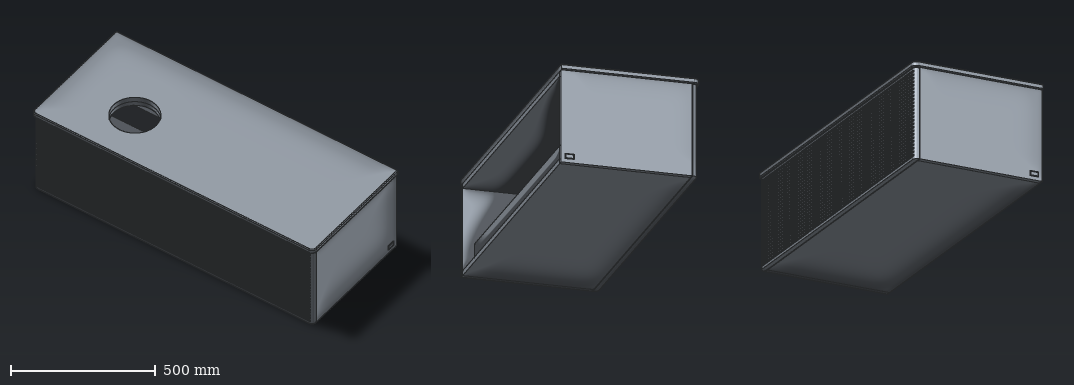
import cadquery as cq
LENGTH = 1200.0
DEPTH = 500.0
HEIGHT = 360.0

TOP_THICKNESS = 20.0
TOP_CORNER_RADIUS = 20.0
TOP_CHAMFER = 4.0
BASIN_HOLE_DIAMETER = 180.0
BASIN_HOLE_X = -LENGTH / 4
BASIN_HOLE_Y = -305.0

SIDE_INSET = 6.0
BOARD = 18.0
CARCASS_DEPTH = 473.0
PANEL_BACK_Y = -42.0
PANEL_TOP = 120.0

FRONT_BACK_Y = -475.0
FRONT_FACE_Y = -493.0
FRONT_CORNER_DIAMETER = 35.0
FRONT_TOP_GAP = 1.0
FLUTE_COUNT = 25
FLUTE_SPAN = 312.0
FIRST_FLUTE_Z = 15.0
FLUTE_WIDTH = 7.8
FLUTE_FLOOR = 4.0
FLUTE_DEPTH = 1.0

CAP_WIDTH = 32.0
CAP_HEIGHT = 18.0
CAP_THICKNESS = 6.0
CAP_CHAMFER = 2.0
CAP_CENTER_Y = -31.0
CAP_CENTER_Z = 24.0

CARCASS_LENGTH = LENGTH - 2 * SIDE_INSET
CARCASS_HEIGHT = HEIGHT - TOP_THICKNESS
INNER_LENGTH = CARCASS_LENGTH - 2 * BOARD
FLUTE_PITCH = FLUTE_SPAN / (FLUTE_COUNT - 1)
CAP_CENTER_X = (CARCASS_LENGTH - CAP_THICKNESS) / 2

LEFT, RIGHT = -1, 1


def board(length, depth, height, back_y=0.0, bottom_z=0.0):
    """A board centred on X = 0 that extends toward -Y from back_y and up from bottom_z."""
    blank = cq.Workplane("XY").box(length, depth, height, centered=(True, False, False))
    return blank.translate((0, back_y - depth, bottom_z))


def cut_basin_hole(body):
    outline = cq.Workplane("XY").center(BASIN_HOLE_X, BASIN_HOLE_Y).circle(BASIN_HOLE_DIAMETER / 2)
    return body.cut(outline.extrude(HEIGHT))


def make_countertop():
    slab = board(LENGTH, DEPTH, TOP_THICKNESS, bottom_z=CARCASS_HEIGHT)
    slab = slab.edges("|Z and <Y").fillet(TOP_CORNER_RADIUS)
    slab = slab.faces("<Y").edges(">Z or <Z").chamfer(TOP_CHAMFER)
    return cut_basin_hole(slab)


def make_top_board():
    return cut_basin_hole(board(INNER_LENGTH, CARCASS_DEPTH, BOARD, bottom_z=CARCASS_HEIGHT - BOARD))


def make_floor():
    return board(INNER_LENGTH, CARCASS_DEPTH, BOARD)


def make_back_panel():
    return board(INNER_LENGTH, BOARD, PANEL_TOP - BOARD, PANEL_BACK_Y, BOARD)


def cap_blank(side):
    blank = cq.Workplane("XY").box(CAP_THICKNESS, CAP_WIDTH, CAP_HEIGHT)
    return blank.translate((side * CAP_CENTER_X, CAP_CENTER_Y, CAP_CENTER_Z))


def make_cap(side):
    outer_face = "<X" if side == LEFT else ">X"
    return cap_blank(side).faces(outer_face).chamfer(CAP_CHAMFER)


def make_side_board(side):
    panel = board(BOARD, CARCASS_DEPTH, CARCASS_HEIGHT)
    panel = panel.translate((side * (CARCASS_LENGTH - BOARD) / 2, 0, 0))
    return panel.cut(cap_blank(side))


def flute_cutter(center_z):
    """Prism that cuts one tapered flute along the whole front."""
    profile = cq.Workplane("YZ").polyline([
        (FRONT_FACE_Y, center_z - FLUTE_WIDTH / 2),
        (FRONT_FACE_Y + FLUTE_DEPTH, center_z - FLUTE_FLOOR / 2),
        (FRONT_FACE_Y + FLUTE_DEPTH, center_z + FLUTE_FLOOR / 2),
        (FRONT_FACE_Y, center_z + FLUTE_WIDTH / 2),
    ]).close()
    return profile.extrude(LENGTH / 2, both=True)


def make_drawer_front():
    thickness = FRONT_BACK_Y - FRONT_FACE_Y
    front = board(CARCASS_LENGTH, thickness, CARCASS_HEIGHT - FRONT_TOP_GAP, FRONT_BACK_Y)
    front = front.edges("|Z and <Y").fillet(FRONT_CORNER_DIAMETER / 2)
    for i in range(FLUTE_COUNT):
        front = front.cut(flute_cutter(FIRST_FLUTE_Z + i * FLUTE_PITCH))
    return front


countertop = make_countertop()
top_board = make_top_board()
floor = make_floor()
back_panel = make_back_panel()
drawer_front = make_drawer_front()
side_boards = [make_side_board(side) for side in (LEFT, RIGHT)]
caps = [make_cap(side) for side in (LEFT, RIGHT)]

result = cq.Compound.makeCompound([
    countertop.val(),
    top_board.val(),
    floor.val(),
    back_panel.val(),
    drawer_front.val(),
    *[side_board.val() for side_board in side_boards],
    *[cap.val() for cap in caps],
])